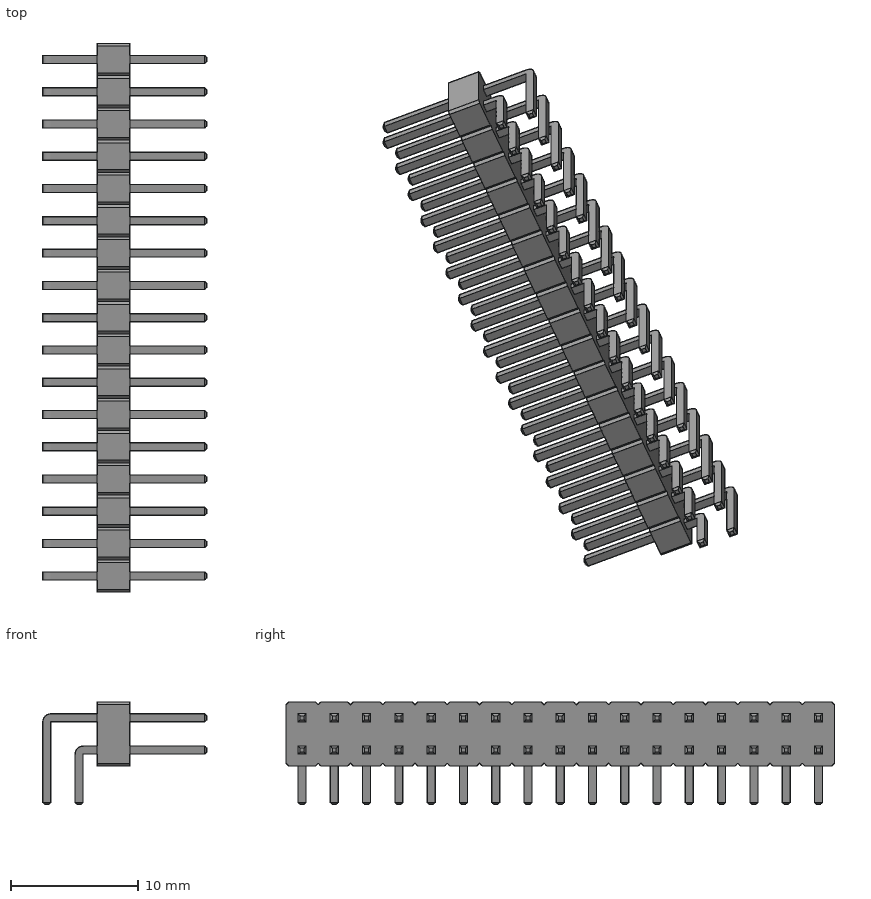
import cadquery as cq


total_length = 43.2
column_count = 17
pitch = total_length / column_count
overall_height = 8.07

housing_depth = 2.6
housing_height = 5.05
housing_chamfer = 0.2

pin_width = 0.65
tip_chamfer = 0.17
tail_reach = 4.27
contact_length = 6.05

contact_end = housing_depth / 2 + contact_length
tail_end = housing_height / 2 - overall_height
upper_tail_x = -housing_depth / 2 - tail_reach
lower_tail_x = upper_tail_x + pitch


def make_housing():
    """A row of chamfered blocks, leaving V-grooves between columns above and below."""
    half_height = housing_height / 2
    shoulder_z = half_height - housing_chamfer
    top_points = [(-total_length / 2, shoulder_z)]
    for column in range(column_count):
        start = column * pitch - total_length / 2
        end = start + pitch
        top_points.append((start + housing_chamfer, half_height))
        top_points.append((end - housing_chamfer, half_height))
        top_points.append((end, shoulder_z))
    bottom_points = [(y, -z) for y, z in reversed(top_points)]
    profile = cq.Workplane("YZ").polyline(top_points + bottom_points).close()
    return profile.extrude(housing_depth / 2, both=True)


def make_pin(axis_z, tail_x):
    """A square pin bent downwards, with its axis at axis_z and its outer tail side at tail_x."""
    top = axis_z + pin_width / 2
    bottom = axis_z - pin_width / 2
    inner_tail_x = tail_x + pin_width
    pin = (
        cq.Workplane("XZ")
        .moveTo(contact_end, bottom)
        .lineTo(contact_end, top)
        .lineTo(inner_tail_x, top)
        .radiusArc((tail_x, bottom), -pin_width)
        .lineTo(tail_x, tail_end)
        .lineTo(inner_tail_x, tail_end)
        .lineTo(inner_tail_x, bottom)
        .close()
        .extrude(pin_width / 2, both=True)
    )
    pin = pin.faces(">X").chamfer(tip_chamfer)
    return pin.faces("<Z").chamfer(tip_chamfer)


upper_pin = make_pin(pitch / 2, upper_tail_x)
lower_pin = make_pin(-pitch / 2, lower_tail_x)

pins = cq.Workplane("XY")
for column in range(column_count):
    column_y = (column - (column_count - 1) / 2) * pitch
    pins = pins.add(upper_pin.translate((0, column_y, 0)))
    pins = pins.add(lower_pin.translate((0, column_y, 0)))

result = make_housing().union(cq.Workplane(cq.Compound.makeCompound(pins.vals())))